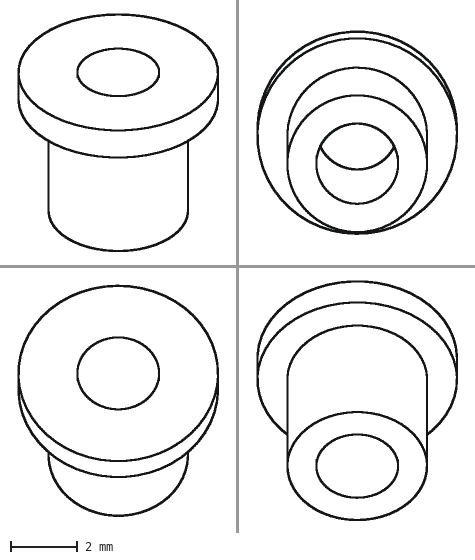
import cadquery as cq

flange_diameter = 6.0
sleeve_diameter = 4.2
bore_diameter = 2.46
total_height = 5.1
flange_thickness = 1.0

sleeve_length = total_height - flange_thickness

sleeve = cq.Workplane("XY").circle(sleeve_diameter / 2).extrude(sleeve_length)

flange = (
    cq.Workplane("XY")
    .workplane(offset=sleeve_length)
    .circle(flange_diameter / 2)
    .extrude(flange_thickness)
)

bore = cq.Workplane("XY").circle(bore_diameter / 2).extrude(total_height)

result = sleeve.union(flange).cut(bore)